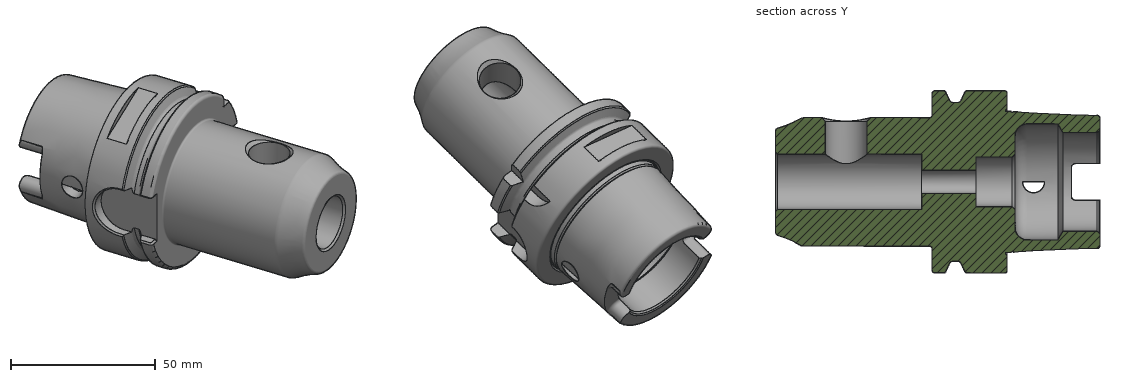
import cadquery as cq
import math

total_length = 112.0

shank_length = 32.0
shank_front_radius = 23.0
shank_back_radius = 24.3
shank_nose_round = 1.1
taper_end = 29.9
relief_bottom_x = 30.2
relief_radius = 24.0
collar_start = 30.8
collar_radius = 24.4
face_groove_floor_radius = 24.9
face_groove_radius = 25.4
face_groove_depth = 0.6

flange_radius = 31.5
flange_end = 58.0
flange_front_round = 0.9
flange_back_round = 1.1
v_groove_center = 50.0
v_groove_bottom_radius = 27.4
v_groove_bottom_half_width = 0.9
v_groove_bottom_round = 1.1
v_groove_flank_angle = 65
v_groove_edge_break = 0.5

body_radius = 44.5 / 2
body_root_round = 0.7
nose_start = 102.9
nose_start_round = 2.0
nose_mid_x = 106.7
nose_mid_radius = 20.2
nose_end_radius = 18.4
nose_edge_round = 1.1

shank_bore_radius = 34.0 / 2
shank_mouth_radius = 18.0
shank_mouth_mid_radius = 17.5
shank_mouth_mid_x = 0.3
shank_mouth_depth = 1.0
clamp_shoulder_x = 12.9
clamp_shoulder_angle = 30
clamp_groove_radius = 40.0 / 2
shank_floor_x = 29.3
shank_floor_round = 4.3
tube_mouth_radius = 19.0 / 2
tube_radius = 17.0 / 2
tube_depth = 13.4
coolant_radius = 8.0 / 2

tool_bore_radius = 19.0 / 2
tool_bore_mouth_radius = 20.5 / 2
tool_bore_start = 61.6

screw_x = 87.6
screw_radius = 14.3 / 2
screw_mouth_radius = 17.0 / 2

notch_half_width = 6.3
notch_corner_round = 1.3
notch_lip_round = 2.9
minus_y_notch_depth = 9.9
plus_y_notch_depth = 5.8

access_x = 23.0
access_outer_radius = 4.3
access_inner_radius = 7.5 / 2
access_seat_depth = 0.1

slot_center_x = 44.9
minus_y_slot_half_width = 9.0
plus_y_slot_half_width = 8.0
slot_floor = 26.5
slot_edge_chamfer = 0.7

orientation_bottom_z = 19.6
orientation_floor_y = 20.3

label_start = 35.6
label_end = 43.2
label_tilt = 21.9

over = 1.1
near = 0.01


def turned(points):
    """Solid of revolution about X from (x, radius) corners."""
    return cq.Workplane("XY").polyline(points).close().revolve(360, (0, 0, 0), (1, 0, 0))


def ring_edges(part, x, radius):
    """Circular edges about the X axis at one place and radius."""

    def matches(edge):
        box = edge.BoundingBox()
        return abs(box.xmin - x) < near and box.xlen < near and abs(box.zmax - radius) < near

    return part.newObject([e for e in part.edges("%CIRCLE").vals() if matches(e)])


def outer_body():
    """Turned outside of the shank, flange, body and hollow-curved nose."""
    part = (
        cq.Workplane("XY")
        .moveTo(0, 0)
        .lineTo(0, shank_front_radius)
        .lineTo(taper_end, shank_back_radius)
        .lineTo(relief_bottom_x, relief_radius)
        .lineTo(collar_start, collar_radius)
        .lineTo(shank_length + face_groove_depth, collar_radius)
        .lineTo(shank_length + face_groove_depth, face_groove_floor_radius)
        .lineTo(shank_length, face_groove_radius)
        .lineTo(shank_length, flange_radius)
        .lineTo(flange_end, flange_radius)
        .lineTo(flange_end, body_radius)
        .lineTo(nose_start, body_radius)
        .threePointArc((nose_mid_x, nose_mid_radius), (total_length, nose_end_radius))
        .lineTo(total_length, 0)
        .close()
        .revolve(360, (0, 0, 0), (1, 0, 0))
    )
    part = ring_edges(part, 0, shank_front_radius).fillet(shank_nose_round)
    part = ring_edges(part, shank_length, flange_radius).fillet(flange_front_round)
    part = ring_edges(part, flange_end, flange_radius).fillet(flange_back_round)
    part = ring_edges(part, flange_end, body_radius).fillet(body_root_round)
    part = ring_edges(part, nose_start, body_radius).fillet(nose_start_round)
    return ring_edges(part, total_length, nose_end_radius).fillet(nose_edge_round)


def slot_cutter(half_width, floor_distance, center_z, side):
    """Slot with one round end, open towards +X, milled along Y from one side."""
    open_end = flange_end + half_width
    profile = (
        cq.Workplane("XZ")
        .moveTo(open_end, center_z + half_width)
        .lineTo(slot_center_x, center_z + half_width)
        .threePointArc((slot_center_x - half_width, center_z), (slot_center_x, center_z - half_width))
        .lineTo(open_end, center_z - half_width)
        .close()
        .extrude(-side * flange_radius)
    )
    return profile.translate((0, side * floor_distance, 0))


def v_groove():
    """Ring with the V shape of the gripper groove, rounded at the bottom and flared at the rim."""
    flank_angle = math.radians(v_groove_flank_angle)

    def on_round(angle):
        width = v_groove_bottom_half_width + v_groove_bottom_round * math.sin(angle)
        radius = v_groove_bottom_radius + v_groove_bottom_round * (1 - math.cos(angle))
        return width, radius

    corner = on_round(flank_angle)
    corner_mid = on_round(flank_angle / 2)
    break_radius = flange_radius - v_groove_edge_break
    break_width = corner[0] + (break_radius - corner[1]) / math.tan(flank_angle)
    rim_break = (break_width, break_radius)
    rim = (break_width + 2 * v_groove_edge_break, flange_radius + v_groove_edge_break)

    def right(point):
        return v_groove_center + point[0], point[1]

    def left(point):
        return v_groove_center - point[0], point[1]

    return (
        cq.Workplane("XY")
        .moveTo(*left(on_round(0)))
        .lineTo(*right(on_round(0)))
        .threePointArc(right(corner_mid), right(corner))
        .lineTo(*right(rim_break))
        .lineTo(*right(rim))
        .lineTo(*left(rim))
        .lineTo(*left(rim_break))
        .lineTo(*left(corner))
        .threePointArc(left(corner_mid), left(on_round(0)))
        .close()
        .revolve(360, (0, 0, 0), (1, 0, 0))
    )


def shank_bore():
    """Stepped bore from the shank mouth to the tool bore, with a wider clamping groove inside."""
    flare = clamp_groove_radius - shank_bore_radius
    clamp_shoulder_end = clamp_shoulder_x + flare * math.tan(math.radians(clamp_shoulder_angle))
    clamp_space = turned(
        [
            (0, 0),
            (0, shank_mouth_radius),
            (shank_mouth_mid_x, shank_mouth_mid_radius),
            (shank_mouth_depth, shank_bore_radius),
            (clamp_shoulder_x, shank_bore_radius),
            (clamp_shoulder_end, clamp_groove_radius),
            (shank_floor_x, clamp_groove_radius),
            (shank_floor_x, 0),
        ]
    )
    clamp_space = ring_edges(clamp_space, shank_floor_x, clamp_groove_radius).fillet(shank_floor_round)
    coolant_passage = turned(
        [
            (shank_floor_x, 0),
            (shank_floor_x, tube_mouth_radius),
            (shank_floor_x + tube_mouth_radius - tube_radius, tube_radius),
            (shank_floor_x + tube_depth, tube_radius),
            (shank_floor_x + tube_depth, coolant_radius),
            (tool_bore_start, coolant_radius),
            (tool_bore_start, 0),
        ]
    )
    return clamp_space.union(coolant_passage)


def tool_bore():
    """Bore open at the +X end, with a chamfered mouth."""
    mouth = tool_bore_mouth_radius - tool_bore_radius
    return turned(
        [
            (tool_bore_start, 0),
            (tool_bore_start, tool_bore_radius),
            (total_length - mouth, tool_bore_radius),
            (total_length, tool_bore_mouth_radius),
            (total_length, 0),
        ]
    )


def screw_hole():
    """Radial hole from +Z into the tool bore, with a 45 degree countersink."""
    sink = screw_mouth_radius - screw_radius
    return (
        cq.Workplane("XZ")
        .polyline(
            [
                (0, 0),
                (screw_radius, 0),
                (screw_radius, body_radius - sink),
                (screw_mouth_radius + sink, body_radius + sink),
                (0, body_radius + sink),
            ]
        )
        .close()
        .revolve(360, (0, 0, 0), (0, 1, 0))
        .translate((screw_x, 0, 0))
    )


def drive_notch(depth, side):
    """Notch across the shank wall whose side walls round over into the outside of the shank."""
    reach = shank_front_radius - notch_lip_round
    lip_z = notch_half_width + notch_lip_round
    lip_y = math.sqrt(reach**2 - lip_z**2)
    tangent = shank_front_radius / reach
    end = (lip_y * tangent, lip_z * tangent)
    mid_angle = (math.atan2(lip_z, lip_y) - math.pi / 2) / 2
    mid = (
        lip_y + notch_lip_round * math.cos(mid_angle),
        lip_z + notch_lip_round * math.sin(mid_angle),
    )
    inner_y = shank_bore_radius / 2
    outer_y = flange_radius
    cutter = (
        cq.Workplane("YZ")
        .moveTo(inner_y, -notch_half_width)
        .lineTo(lip_y, -notch_half_width)
        .threePointArc((mid[0], -mid[1]), (end[0], -end[1]))
        .lineTo(outer_y, -end[1])
        .lineTo(outer_y, end[1])
        .lineTo(end[0], end[1])
        .threePointArc(mid, (lip_y, notch_half_width))
        .lineTo(inner_y, notch_half_width)
        .close()
        .extrude(depth)
    )
    end_edges = cq.selectors.BoxSelector((depth - over, 0, -lip_z), (depth + over, lip_y, lip_z))
    inner_edge = cq.selectors.BoxSelector((depth - over, 0, -over), (depth + over, inner_y + over, over))
    cutter = cutter.edges(end_edges - inner_edge).fillet(notch_corner_round)
    return cutter if side > 0 else cutter.mirror("XZ")


def shank_radius_at(x):
    """Outside radius of the taper at a distance from the shank front."""
    slope = (shank_back_radius - shank_front_radius) / taper_end
    return shank_front_radius + slope * x


def access_hole(side):
    """Half hole below the XZ plane, narrowing inwards, in a shallow round seat on the shank."""
    outer_y = shank_radius_at(access_x)
    wall_thickness = outer_y - clamp_groove_radius
    taper = (access_outer_radius - access_inner_radius) / wall_thickness
    half_hole = (
        cq.Workplane("XY")
        .polyline(
            [
                (0, outer_y + over),
                (access_outer_radius + taper * over, outer_y + over),
                (access_inner_radius - taper * over, clamp_groove_radius - over),
                (0, clamp_groove_radius - over),
            ]
        )
        .close()
        .revolve(180, (0, 0, 0), (0, 1, 0))
        .translate((access_x, 0, 0))
    )
    start = access_x - 2 * access_outer_radius
    end = taper_end
    rim = turned(
        [
            (start, shank_radius_at(start) - access_seat_depth),
            (start, flange_radius),
            (end, flange_radius),
            (end, shank_radius_at(end) - access_seat_depth),
        ]
    )
    seat = cq.Workplane("XZ").center(access_x, 0).circle(access_outer_radius).extrude(-flange_radius)
    cutter = half_hole.union(seat.intersect(rim))
    return cutter if side > 0 else cutter.mirror("XZ")


def label_flat():
    """Flat across the rim whose upper edge lies on the XZ plane."""
    distance = flange_radius * math.cos(math.radians(label_tilt))
    length = label_end - label_start
    block = cq.Workplane("XY").box(length, 2 * flange_radius, flange_radius, centered=(False, True, False))
    return block.translate((label_start, 0, distance)).rotate((0, 0, 0), (1, 0, 0), label_tilt)


def slot_rim_edges(part):
    """Edges where the slot on the -Y side meets the outside of the flange."""
    reach = minus_y_slot_half_width + over
    box = cq.selectors.BoxSelector(
        (slot_center_x - reach, -slot_floor - over, -reach),
        (flange_end - flange_back_round / 2, -flange_radius - over, reach),
    )
    return part.edges(box)


result = outer_body()
result = result.cut(slot_cutter(minus_y_slot_half_width, slot_floor, 0, -1))
result = slot_rim_edges(result).chamfer(slot_edge_chamfer)
result = result.cut(slot_cutter(plus_y_slot_half_width, slot_floor, 0, 1))
orientation_center_z = orientation_bottom_z + plus_y_slot_half_width
result = result.cut(slot_cutter(plus_y_slot_half_width, orientation_floor_y, orientation_center_z, 1))
result = result.cut(v_groove()).cut(label_flat())
result = result.cut(shank_bore()).cut(tool_bore()).cut(screw_hole())
result = result.cut(drive_notch(minus_y_notch_depth, -1)).cut(drive_notch(plus_y_notch_depth, 1))
result = result.cut(access_hole(-1)).cut(access_hole(1))